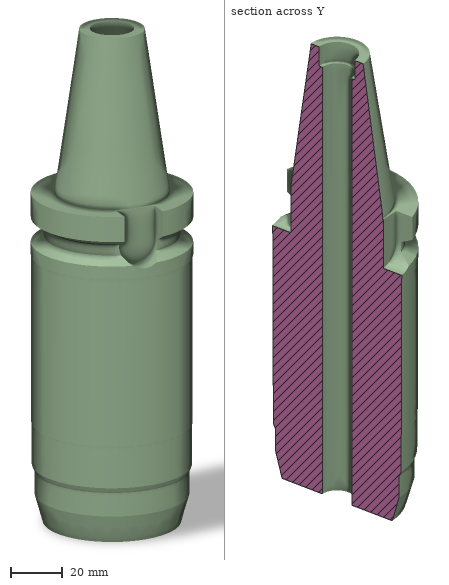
import cadquery as cq
import math

total_height = 200.5

flange_top = 133.9
gauge_height = 135.0
gauge_radius = 22.2
taper_on_diameter = 7 / 24
taper_top_radius = gauge_radius - (total_height - gauge_height) * taper_on_diameter / 2

flange_radius = 31.5
upper_rim_height = 10.2
groove_floor_radius = 26.5
groove_floor_height = 4.2
groove_flank_angle = 30
flank_height = (flange_radius - groove_floor_radius) * math.tan(math.radians(groove_flank_angle))
lower_rim_height = 5.2
groove_top = flange_top - upper_rim_height
groove_floor_top = groove_top - flank_height
groove_floor_bottom = groove_floor_top - groove_floor_height
groove_bottom = groove_floor_bottom - flank_height
flange_bottom = groove_bottom - lower_rim_height

body_radius = 31.3
nut_radius = 31.0
nut_top = 40.3
nut_bottom = 23.2
nose_radius = 30.0
nose_top = 21.0
nose_cone_top = 11.5
nose_tip_radius = 26.9

slot_width = 16.2
slot_depth_below_flange_top = 21.8
slot_floor_x = 22.55
slot_radius = slot_width / 2
slot_bottom = flange_top - slot_depth_below_flange_top
slot_arc_center = slot_bottom + slot_radius

bore_radius = 7.0
counterbore_radius = 8.6
counterbore_depth = 8.6


def turned_body():
    """Solid of revolution; each profile point is (radius, height)."""
    profile = [
        (0, 0),
        (nose_tip_radius, 0),
        (nose_radius, nose_cone_top),
        (nose_radius, nose_top),
        (nut_radius, nut_bottom),
        (nut_radius, nut_top),
        (body_radius, nut_top),
        (body_radius, flange_bottom),
        (flange_radius, flange_bottom),
        (flange_radius, groove_bottom),
        (groove_floor_radius, groove_floor_bottom),
        (groove_floor_radius, groove_floor_top),
        (flange_radius, groove_top),
        (flange_radius, flange_top),
        (gauge_radius, flange_top),
        (gauge_radius, gauge_height),
        (taper_top_radius, total_height),
        (0, total_height),
    ]
    return cq.Workplane("XZ").polyline(profile).close().revolve(360, (0, 0), (0, 1))


def drive_slot(side):
    """Cutter for the slot on the +X (side = 1) or -X (side = -1) flank."""
    return (
        cq.Workplane("YZ", origin=(side * slot_floor_x, 0, 0))
        .moveTo(-slot_radius, flange_top)
        .lineTo(-slot_radius, slot_arc_center)
        .threePointArc((0, slot_bottom), (slot_radius, slot_arc_center))
        .lineTo(slot_radius, flange_top)
        .close()
        .extrude(side * flange_radius)
    )


def stepped_bore():
    """Cutter for the through bore and its counterbore."""
    counterbore_floor = total_height - counterbore_depth
    bore = cq.Workplane("XY").circle(bore_radius).extrude(total_height)
    counterbore = (
        cq.Workplane("XY", origin=(0, 0, counterbore_floor))
        .circle(counterbore_radius)
        .extrude(counterbore_depth)
    )
    return bore.union(counterbore)


result = turned_body().cut(stepped_bore())
for side in (-1, 1):
    result = result.cut(drive_slot(side))